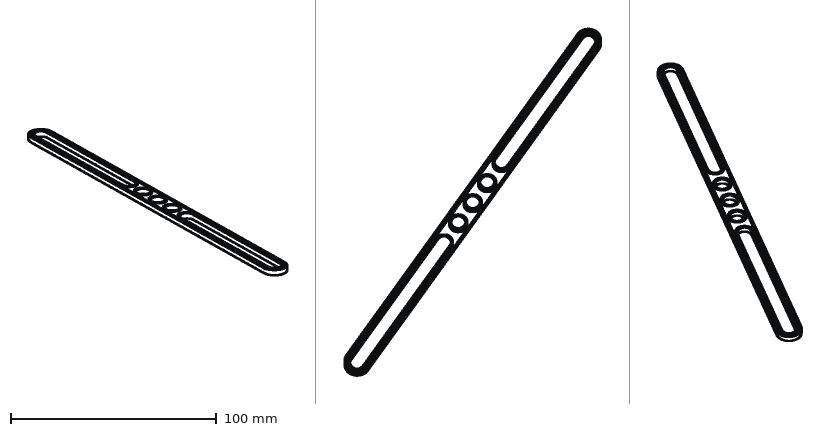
import cadquery as cq

length = 212.5
width = 12.5
thickness = 3.2
bore_diameter = 7.0
ring_diameter = 9.1
recess_depth = 0.5
edge_chamfer = 0.32

lip_width = (ring_diameter - bore_diameter) / 2
pitch = (length - width) / 16
slot_inner_centre = 2 * pitch
slot_outer_centre = 8 * pitch
slot_middle = (slot_inner_centre + slot_outer_centre) / 2
slot_travel = slot_outer_centre - slot_inner_centre
hole_places = [(-pitch, 0), (0, 0), (pitch, 0)]
slot_places = [(-slot_middle, 0), (slot_middle, 0)]


def make_bar():
    """Flat bar with full-round ends, centred on the origin."""
    return cq.Workplane("XY").slot2D(length, width).extrude(thickness / 2, both=True)


def openings(diameter, height):
    """Solids over all holes and slots, of the given diameter, rising from the XY plane."""
    holes = cq.Workplane("XY").pushPoints(hole_places).circle(diameter / 2).extrude(height)
    slots = (
        cq.Workplane("XY")
        .pushPoints(slot_places)
        .slot2D(slot_travel + diameter, diameter)
        .extrude(height)
    )
    return holes.union(slots)


def web_recess():
    """Shallow pocket inside the border that leaves a lip around each hole and slot."""
    pocket = (
        cq.Workplane("XY")
        .slot2D(length - 2 * lip_width, width - 2 * lip_width)
        .extrude(recess_depth)
    )
    return pocket.cut(openings(ring_diameter, recess_depth))


through_cut = openings(bore_diameter, thickness).translate((0, 0, -thickness / 2))
result = make_bar().cut(through_cut)
result = result.faces("<Z or >Z").edges().chamfer(edge_chamfer)

top_recess = web_recess().translate((0, 0, thickness / 2 - recess_depth))
result = result.cut(top_recess).cut(top_recess.mirror("XY"))